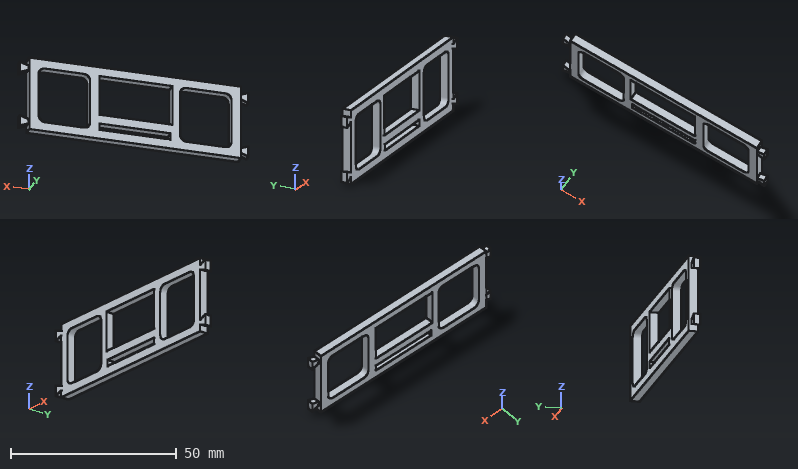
import cadquery as cq

overall_length = 72.3
frame_length = 67.0
frame_height = 24.0
frame_thickness = 3.0
border = 3.05

side_window_width = 16.2
side_window_radius = 2.0
center_window_width = 23.0
slot_width = 22.5
slot_height = 2.0

tab_length = (overall_length - frame_length) / 2
tab_thickness = 2.0
tab_root_height = 1.5
tab_tip_height = 3.5

inner_x = frame_length / 2 - border
inner_z = frame_height / 2 - border
center_right_x = inner_x - side_window_width - border
slot_top_z = -inner_z + slot_height
front_y = -frame_thickness / 2


def box_between(x_min, x_max, z_min, z_max):
    """Block through the full frame thickness."""
    return cq.Workplane("XY").box(x_max - x_min, frame_thickness, z_max - z_min).translate(
        ((x_min + x_max) / 2, 0, (z_min + z_max) / 2)
    )


def side_window(side):
    """Rounded opening at the left (-1) or right (+1) end."""
    x_outer = side * inner_x
    x_inner = side * (inner_x - side_window_width)
    window = box_between(min(x_outer, x_inner), max(x_outer, x_inner), -inner_z, inner_z)
    return window.edges("|Y").fillet(side_window_radius)


def dovetail(side, z_center):
    """Tab that widens outward from the left (-1) or right (+1) frame end."""
    root_x = side * frame_length / 2
    tip_x = side * overall_length / 2
    return (
        cq.Workplane("XZ", origin=(0, front_y, z_center))
        .moveTo(root_x, -tab_root_height / 2)
        .lineTo(tip_x, -tab_tip_height / 2)
        .lineTo(tip_x, tab_tip_height / 2)
        .lineTo(root_x, tab_root_height / 2)
        .close()
        .extrude(-tab_thickness)
    )


result = cq.Workplane("XY").box(frame_length, frame_thickness, frame_height)

result = result.cut(
    box_between(center_right_x - center_window_width, center_right_x, slot_top_z + border, inner_z)
)
result = result.cut(
    box_between(center_right_x - slot_width, center_right_x, -inner_z, slot_top_z)
)

for end in (-1, 1):
    result = result.cut(side_window(end))
    for tab_z in (-inner_z, inner_z):
        result = result.union(dovetail(end, tab_z))